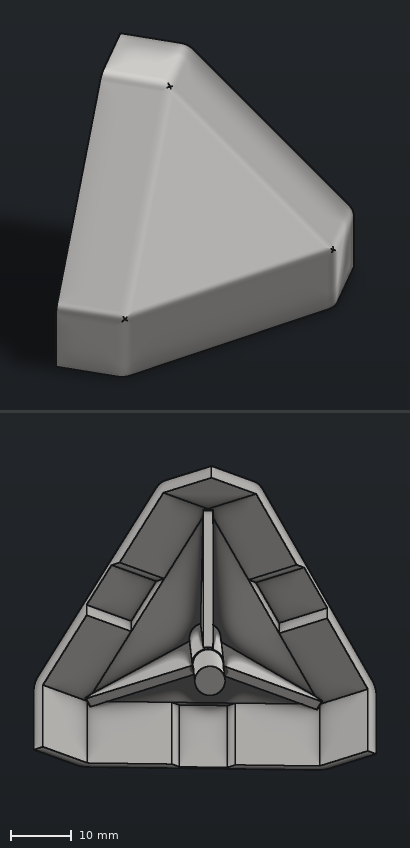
import cadquery as cq
import math

size = 40.0
wall = 2.1
flat = 11.7
outer_radius = 3.2
recess_reach = 28.1
recess_floor = 0.8
fin_thickness = 1.6
fin_edge = 10.25
fin_corner = 0.65
pin_diameter = 5.0
root_diameter = 5.2
root_start = 10.65
pin_start = 4.7

root_two = math.sqrt(2)
root_three = math.sqrt(3)
inner_size = size - wall
inner_flat = flat - wall * math.tan(math.radians(22.5))
bend_sum = size + flat
diagonal = (1, 1, 1)


def on_all_axes(solid):
    """Return the three copies of a solid about the symmetry diagonal."""
    return [solid.rotate((0, 0, 0), diagonal, angle) for angle in (0, 120, 240)]


def diagonal_cylinder(diameter, start, end):
    """Cylinder on the diagonal between two points with equal coordinates."""
    plane = cq.Plane(origin=(start, start, start), xDir=(1, -1, 0), normal=diagonal)
    return cq.Workplane(plane).circle(diameter / 2).extrude((end - start) * root_three)


def corner_body(side, face_width, radius=0):
    """Cube with bevelled far edges and a triangular far corner; bends meet in mitres."""
    bevel_prism = (
        cq.Workplane("XY")
        .polyline([(0, 0), (side, 0), (side, face_width), (face_width, side), (0, side)])
        .close()
        .extrude(side)
    )
    bevel_distance = (side + face_width) / root_two
    triangle_sum = side + 2 * face_width
    section_plane = cq.Plane(origin=(0, 0, 0), xDir=(1, 1, 0), normal=(1, -1, 0))
    triangle_prism = (
        cq.Workplane(section_plane)
        .polyline([
            (-triangle_sum, -triangle_sum),
            (bevel_distance, -triangle_sum),
            (bevel_distance, face_width),
            (-triangle_sum, triangle_sum * (1 + root_two)),
        ])
        .close()
        .extrude(2 * side, both=True)
    )
    if radius:
        middle = face_width / 2
        at_bevel = cq.selectors.BoxSelector((middle, middle, 0), (2 * side, 2 * side, 2 * side))
        bevel_prism = bevel_prism.edges("|Z").edges(at_bevel).fillet(radius)
        triangle_side = cq.selectors.NearestToPointSelector(
            (bevel_distance / root_two, bevel_distance / root_two, face_width)
        )
        triangle_prism = triangle_prism.edges(triangle_side).fillet(radius)
    body = bevel_prism
    for prism in on_all_axes(bevel_prism)[1:] + on_all_axes(triangle_prism):
        body = body.intersect(prism)
    return body


def make_recess():
    """Shallow recess in one 45 degree wall, running in from the open face."""
    shoulder = bend_sum - recess_floor * root_two - recess_reach
    return (
        cq.Workplane("XY")
        .polyline([
            (0, 0),
            (recess_reach, 0),
            (recess_reach, shoulder),
            (shoulder, recess_reach),
            (0, recess_reach),
        ])
        .close()
        .extrude(inner_flat)
    )


def make_fin():
    """Fin in the X = Y plane, from the diagonal to one corner of the triangle."""
    plane = cq.Plane(origin=(0, 0, 0), xDir=(1, 1, 0), normal=(1, -1, 0))
    near = fin_edge * root_two
    top_sum = size + 2 * flat - wall
    return (
        cq.Workplane(plane)
        .polyline([
            (near, fin_edge),
            (near, inner_size - fin_corner),
            (inner_flat * root_two, inner_size),
            (inner_flat * root_two, size - wall / 2),
            (flat * root_two, size - wall / 2),
            (top_sum / 3 * root_two, top_sum / 3),
        ])
        .close()
        .extrude(fin_thickness / 2, both=True)
    )


outer = corner_body(size, flat, outer_radius)

part = outer.cut(corner_body(inner_size, inner_flat))
for recess in on_all_axes(make_recess()):
    part = part.cut(recess)

for fin in on_all_axes(make_fin()):
    part = part.union(fin.intersect(outer))
triangle_inside = (size + 2 * flat) / 3 - wall / 2 / root_three
part = part.union(diagonal_cylinder(root_diameter, root_start, triangle_inside))
part = part.union(diagonal_cylinder(pin_diameter, pin_start, triangle_inside))

result = part.mirror("XZ").translate((0, size, 0))